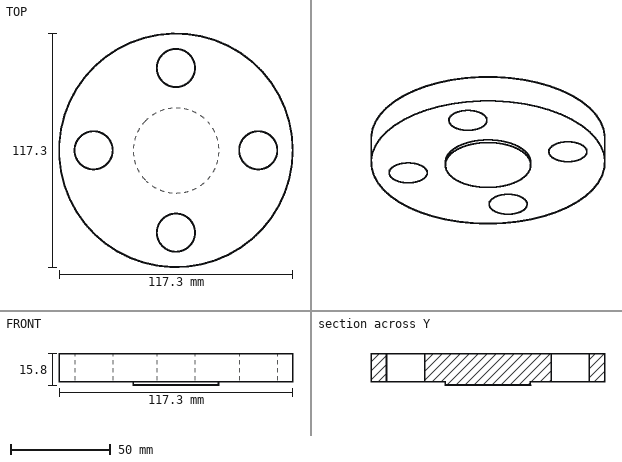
import cadquery as cq

flange_diameter = 117.34
total_thickness = 15.81
raised_face_diameter = 42.9
raised_face_height = 1.6
bolt_circle_diameter = 82.6
bolt_hole_diameter = 19.05
bolt_count = 4

plate_thickness = total_thickness - raised_face_height


def flange_plate():
    """Round plate standing on top of the raised face."""
    plate = cq.Workplane("XY").workplane(offset=raised_face_height)
    return plate.circle(flange_diameter / 2).extrude(plate_thickness)


def add_raised_face(body):
    """Sealing disc under the plate, with its bottom at Z = 0."""
    disc = cq.Workplane("XY").circle(raised_face_diameter / 2).extrude(total_thickness)
    return body.union(disc)


def cut_bolt_holes(body):
    """Through holes on the bolt circle, the first one on +X."""
    bolt_circle = body.faces(">Z").workplane(origin=(0, 0, total_thickness))
    bolt_points = bolt_circle.polarArray(bolt_circle_diameter / 2, 0, 360, bolt_count)
    return bolt_points.hole(bolt_hole_diameter)


result = cut_bolt_holes(add_raised_face(flange_plate()))